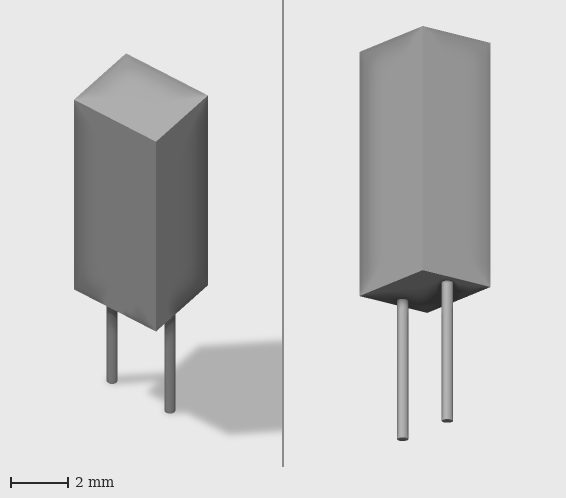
import cadquery as cq

total_height = 14.1
body_width = 3.6
body_depth = 3.0
body_height = 9.0

lead_diameter = 0.4
lead_pitch = 2.54
lead_length = total_height - body_height


def make_body():
    """Plain rectangular block standing on the plane Z = 0."""
    return cq.Workplane("XY").box(body_width, body_depth, body_height, centered=(True, True, False))


def make_lead(x):
    """Round straight lead hanging from the underside of the body."""
    return cq.Workplane("XY").center(x, 0).circle(lead_diameter / 2).extrude(-lead_length)


body = make_body()
leads = [make_lead(side * lead_pitch / 2) for side in (-1, 1)]

result = cq.Compound.makeCompound([body.val(), *[lead.val() for lead in leads]])